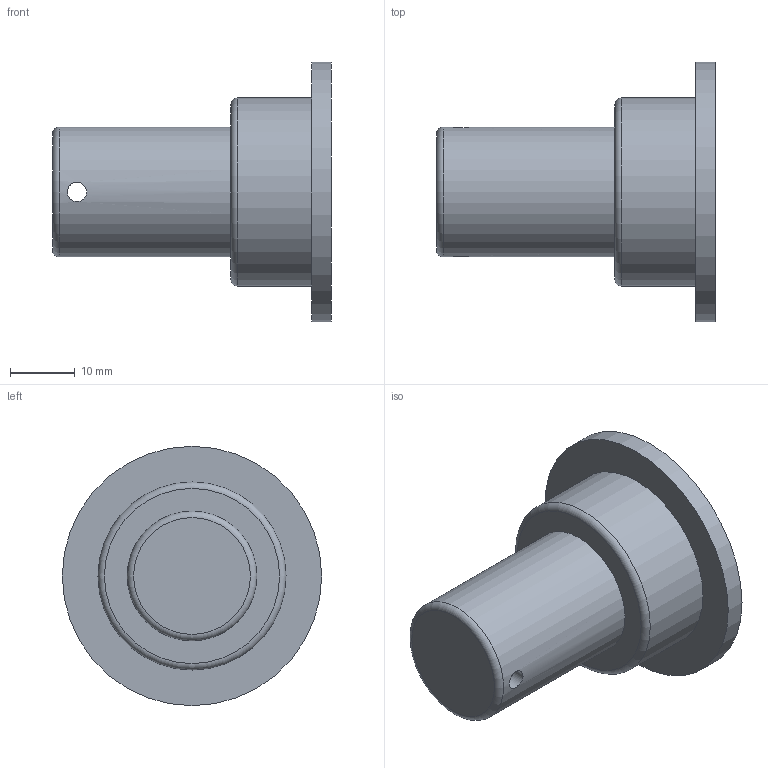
import cadquery as cq

total_length = 43.0
flange_thickness = 3.0
collar_length = 12.5
pin_length = total_length - flange_thickness - collar_length

pin_diameter = 20.0
collar_diameter = 29.0
flange_diameter = 40.0

edge_radius = 1.0

cross_hole_diameter = 3.0
cross_hole_from_end = 3.75


def step(start_x, length, diameter):
    """Cylinder along +X, starting at start_x."""
    return cq.Workplane("YZ", origin=(start_x, 0, 0)).circle(diameter / 2).extrude(length)


def rounded_step(start_x, length, diameter):
    """Cylinder along +X with its -X rim rounded."""
    return step(start_x, length, diameter).faces("<X").edges().fillet(edge_radius)


def cross_hole():
    """Cutter running along Y through the whole pin."""
    return (
        cq.Workplane("XZ", origin=(cross_hole_from_end, 0, 0))
        .circle(cross_hole_diameter / 2)
        .extrude(pin_diameter / 2, both=True)
    )


collar_start = pin_length
flange_start = collar_start + collar_length

pin = rounded_step(0, pin_length, pin_diameter).cut(cross_hole())
collar = rounded_step(collar_start, collar_length, collar_diameter)
flange = step(flange_start, flange_thickness, flange_diameter)

result = pin.union(collar).union(flange)